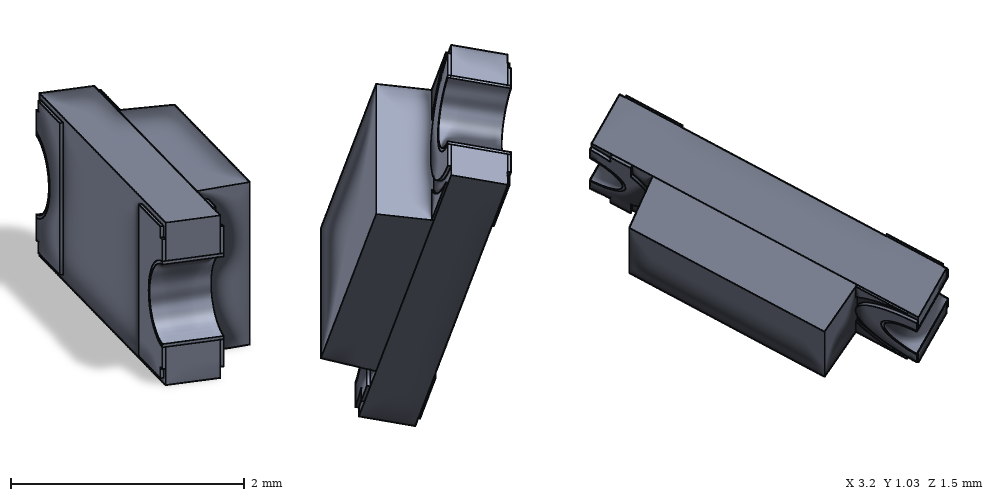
import cadquery as cq
import math


length = 3.2
width = 1.5
board_thickness = 0.5

copper_thickness = 0.03
board_bottom = copper_thickness
board_top = board_bottom + board_thickness

lens_height = 0.5
lens_base_length = 2.0
lens_draft_angle = 5.0

notch_radius = 0.4
notch_center_x = length / 2 + 0.05
plating_thickness = copper_thickness

pad_length = (length - lens_base_length) / 2
pad_side_margin = 0.05
pad_corner_length = 0.05
pad_corner_width = 0.1

land_radius = notch_center_x - lens_base_length / 2
tie_bar_start_x = 1.2
tie_bar_length = 0.2

mark_thickness = 0.02
mark_gap = 0.115
mark_inner_radius = land_radius + mark_gap

ends = (-1, 1)
sides = (-1, 1)


def block(x_range, y_range, z_range):
    """Box that fills the given ranges, whose two limits may come in either order."""
    x_min, x_max = sorted(x_range)
    y_min, y_max = sorted(y_range)
    z_min, z_max = sorted(z_range)
    size = (x_max - x_min, y_max - y_min, z_max - z_min)
    return cq.Workplane("XY").box(*size, centered=False).translate((x_min, y_min, z_min))


def notch_cylinder(end, radius, bottom, top):
    """Cylinder along Y about the notch axis at one end of the board."""
    axis_start = cq.Vector(end * notch_center_x, bottom, 0)
    cylinder = cq.Solid.makeCylinder(radius, top - bottom, axis_start, cq.Vector(0, 1, 0))
    return cq.Workplane(obj=cylinder)


def notch_opening(end):
    """Space taken by the notch and its plating through all copper and board layers."""
    return notch_cylinder(end, notch_radius, 0, board_top + copper_thickness)


def within_length(bottom, top):
    """Slab over the board outline between two heights."""
    return block((-length / 2, length / 2), (bottom, top), (-width / 2, width / 2))


def make_board():
    board = within_length(board_bottom, board_top)
    for end in ends:
        board = board.cut(notch_opening(end))
    return board


def make_lens():
    """Lens as wide as the board, with its two ends drafted inward."""
    base_x = lens_base_length / 2
    top_x = base_x - lens_height * math.tan(math.radians(lens_draft_angle))
    lens_top = board_top + lens_height
    return (
        cq.Workplane("XY")
        .polyline([(-base_x, board_top), (base_x, board_top), (top_x, lens_top), (-top_x, lens_top)])
        .close()
        .extrude(width / 2, both=True)
    )


def make_solder_pad(end):
    """Underside pad, set back at its two outer corners and cut round the notch."""
    outer_x = end * length / 2
    inner_x = end * (length / 2 - pad_length)
    step_x = end * (length / 2 - pad_corner_length)
    half_width = width / 2 - pad_side_margin
    half_tip = half_width - pad_corner_width
    heights = (0, copper_thickness)
    body = block((inner_x, step_x), heights, (-half_width, half_width))
    tip = block((inner_x, outer_x), heights, (-half_tip, half_tip))
    return body.union(tip).clean().cut(notch_opening(end))


def make_plating(end):
    """Copper shell that lines the notch from the pad to the land."""
    bottom = 0
    top = board_top + copper_thickness
    bore = notch_cylinder(end, notch_radius - plating_thickness, bottom, top)
    return notch_opening(end).cut(bore).intersect(within_length(bottom, top))


def make_land(end, with_tie_bar):
    """Round land about the notch; the tie bar crosses it to both long edges."""
    bottom = board_top
    top = board_top + copper_thickness
    land = notch_cylinder(end, land_radius, bottom, top)
    if with_tie_bar:
        bar_x_range = (end * tie_bar_start_x, end * (tie_bar_start_x + tie_bar_length))
        land = land.union(block(bar_x_range, (bottom, top), (-width / 2, width / 2)))
    return land.intersect(within_length(bottom, top)).cut(notch_opening(end))


def make_mark(side):
    """Corner patch between the lens, one long edge and an arc round the -X land."""
    end = -1
    bottom = board_top
    top = board_top + mark_thickness
    patch = block((end * length / 2, end * lens_base_length / 2), (bottom, top), (0, side * width / 2))
    return patch.cut(notch_cylinder(end, mark_inner_radius, bottom, top))


board = make_board()
lens = make_lens()
solder_pads = [make_solder_pad(end) for end in ends]
platings = [make_plating(end) for end in ends]
lands = [make_land(end, with_tie_bar=end > 0) for end in ends]
marks = [make_mark(side) for side in sides]

bodies = [board, lens, *solder_pads, *platings, *lands, *marks]
result = cq.Compound.makeCompound([body.val() for body in bodies])